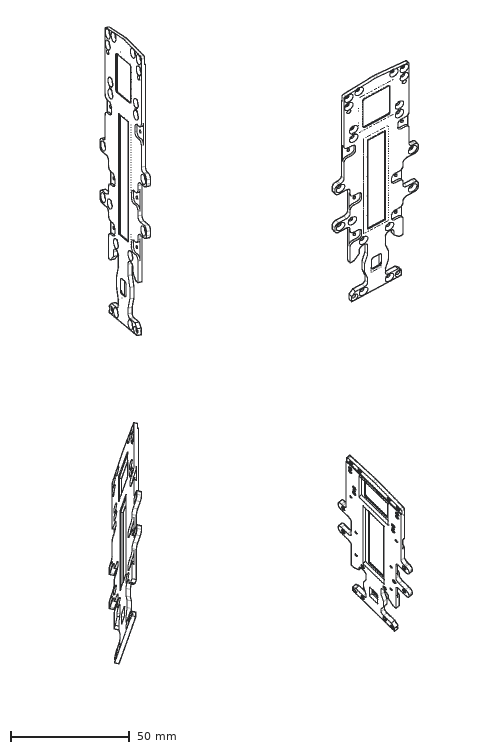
import cadquery as cq

length = 132.6
thickness = 2.0
corner_radius = 2.0

upper_half = 17.0
shoulder_z = 131.1
shoulder_radius = 1.0
crown_half = 0.7

lower_half = 13.8
ear_half_width = 21.7
ear_height = 6.0
ear_half_height = ear_height / 2
upper_ear_z = 75.0
lower_ear_z = 51.0

prong_z = 24.9
prong_chamfer = 2.8
notch_width = 4.4
notch_top_z = 31.8
waist_half = 4.6
bulge_half = 6.2
bulge_z = 17.0
bulge_flat_half = 2.7
bulge_end_half = 7.5
foot_half = 13.0
foot_height = 5.2
foot_chamfer = 2.0
foot_root_radius = 1.6

window_width = 14.0
window_bottom_z = 105.3
window_top_z = 123.2
window_radius = 1.0
slot_width = 9.1
slot_bottom_z = 40.2
slot_top_z = 96.0
foot_window_width = 5.2
foot_window_height = 7.2
foot_window_radius = 1.2

lip_thickness = 0.5
clearance_margin = 2.0

pocket_depth = 1.0
pocket_height = 6.0
pocket_half_height = pocket_height / 2
pocket_radius = 2.0
lower_pocket_zs = (63.1, 40.0)
upper_pocket_z = 95.0

screw_diameter = 2.0
sink_diameter = 4.4
sink_angle = 90
foot_sink_diameter = 3.5
pin_diameter = 2.0
small_hole_diameter = 1.3

rebate_depth = 0.4
rebate_height = 5.3

ear_x = ear_half_width - ear_half_height
corner_screw_x = 14.5
corner_screw_zs = (128.9, 123.7)
top_screw = (9.0, 129.7)
middle_screw_x = 11.9
middle_screw_zs = (107.5, 102.1)
waist_screw_x = 6.8
waist_screw_zs = (34.6, 2.5)
foot_screw = (11.5, 1.9)
single_screw = (-12.6, 50.6)
pin_z = 120.5

front = cq.Workplane("XZ")


def solid_from(sketch, depth=thickness):
    """Extrude an XZ outline from the front face into the plate."""
    return sketch.extrude(-depth)


def mirrored(points):
    """Return the points on both sides of the centre plane."""
    return [(side * x, z) for side in (-1, 1) for x, z in points]


def box(width, bottom_z, top_z):
    return solid_from(front.center(0, (bottom_z + top_z) / 2).rect(width, top_z - bottom_z))


def round_at(body, points, radius):
    """Round the through-thickness edges that stand at the given XZ points."""
    reach = 0.07
    for x, z in points:
        selector = cq.selectors.BoxSelector(
            (x - reach, -reach, z - reach), (x + reach, thickness + reach, z + reach)
        )
        body = body.edges("|Y").edges(selector).fillet(radius)
    return body


def plate():
    """Symmetric outline, traced clockwise from the crown down the right side."""
    notch_outer = waist_half + notch_width
    ear_corners = []
    ear_roots = []
    for ear_z, root_above in ((upper_ear_z, upper_half), (lower_ear_z, lower_half)):
        top_z = ear_z + ear_half_height
        bottom_z = ear_z - ear_half_height
        ear_corners += [(ear_half_width, top_z), (ear_half_width, bottom_z)]
        ear_roots += [(root_above, top_z), (lower_half, bottom_z)]
    notch_corners = [(notch_outer, notch_top_z), (waist_half, notch_top_z)]
    foot_root = (waist_half, foot_height)
    shoulder = (upper_half, shoulder_z)

    right_side = [(crown_half, length), shoulder]
    for index in (0, 2):
        right_side += [ear_roots[index], *ear_corners[index:index + 2], ear_roots[index + 1]]
    right_side += [
        (lower_half, prong_z),
        (notch_outer + prong_chamfer, prong_z),
        (notch_outer, prong_z + prong_chamfer),
        *notch_corners,
        (waist_half, bulge_z + bulge_end_half),
        (bulge_half, bulge_z + bulge_flat_half),
        (bulge_half, bulge_z - bulge_flat_half),
        (waist_half, bulge_z - bulge_end_half),
        foot_root,
        (foot_half - foot_chamfer, foot_height),
        (foot_half, foot_height - foot_chamfer),
        (foot_half, 0),
    ]
    left_side = [(-x, z) for x, z in reversed(right_side)]
    body = solid_from(front.polyline(right_side + left_side).close())
    rounded = ear_corners + ear_roots + notch_corners
    body = round_at(body, mirrored(rounded), corner_radius)
    body = round_at(body, mirrored([foot_root]), foot_root_radius)
    return round_at(body, mirrored([shoulder]), shoulder_radius)


def windows():
    window = box(window_width, window_bottom_z, window_top_z).edges("|Y").fillet(window_radius)
    slot = box(slot_width, slot_bottom_z, slot_top_z)
    foot_window = box(
        foot_window_width, bulge_z - foot_window_height / 2, bulge_z + foot_window_height / 2
    )
    return window.union(slot).union(foot_window.edges("|Y").fillet(foot_window_radius))


def window_clearances():
    """Back recesses: all round the two upper windows, only below the foot window."""
    margin = clearance_margin
    window = box(window_width + 2 * margin, window_bottom_z - margin, window_top_z + margin)
    slot = box(slot_width + 2 * margin, slot_bottom_z - margin, slot_top_z + margin)
    foot_bottom_z = bulge_z - foot_window_height / 2
    foot_window = box(foot_window_width, foot_bottom_z - margin, bulge_z)
    return window.union(slot).union(foot_window).translate((0, lip_thickness, 0))


def edge_pocket(edge_x, z):
    """Pocket open at the right edge, with rounded inner corners and a flared mouth."""
    r = pocket_radius
    half = pocket_half_height
    inner_x = edge_x - 2 * half
    sketch = (
        front.moveTo(edge_x, z + half + r)
        .radiusArc((edge_x - r, z + half), r)
        .lineTo(inner_x + r, z + half)
        .radiusArc((inner_x, z + half - r), -r)
        .lineTo(inner_x, z - half + r)
        .radiusArc((inner_x + r, z - half), -r)
        .lineTo(edge_x - r, z - half)
        .radiusArc((edge_x, z - half - r), r)
        .close()
    )
    return solid_from(sketch, pocket_depth)


def drill(body, points, diameter):
    return body.cut(solid_from(front.pushPoints(points).circle(diameter / 2)))


def countersink(body, points, diameter, head_diameter):
    return (
        body.faces("<Y").workplane(origin=(0, 0, 0)).pushPoints(points)
        .cskHole(diameter, head_diameter, sink_angle)
    )


result = plate().cut(windows()).cut(window_clearances())

pocket_places = [(upper_half, upper_pocket_z)] + [(lower_half, z) for z in lower_pocket_zs]
for edge_x, z in pocket_places:
    pocket = edge_pocket(edge_x, z)
    result = result.cut(pocket).cut(pocket.mirror("YZ"))
pocket_holes = [(edge_x - pocket_half_height, z) for edge_x, z in pocket_places]
result = drill(result, mirrored(pocket_holes), small_hole_diameter)

screws = [top_screw, (ear_x, upper_ear_z), (ear_x, lower_ear_z)]
for x, zs in (
    (corner_screw_x, corner_screw_zs),
    (middle_screw_x, middle_screw_zs),
    (waist_screw_x, waist_screw_zs),
):
    screws += [(x, z) for z in zs]
result = countersink(result, mirrored(screws) + [single_screw], screw_diameter, sink_diameter)
result = countersink(result, mirrored([foot_screw]), screw_diameter, foot_sink_diameter)

small_pin = (middle_screw_x, sum(middle_screw_zs) / 2)
result = drill(result, mirrored([(corner_screw_x, pin_z)]), pin_diameter)
result = drill(result, mirrored([small_pin]), small_hole_diameter)

rebate = box(2 * upper_half, length - rebate_height, length)
result = result.cut(rebate.translate((0, thickness - rebate_depth, 0)))